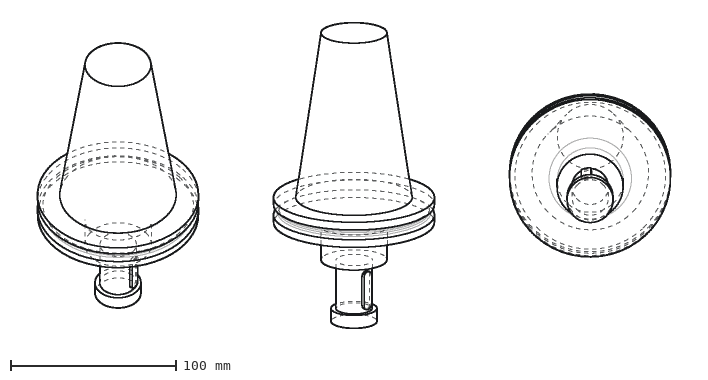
import cadquery as cq
import math

collar_top = 8.3
hub_bottom = 39.1
flange_bottom = 63.0
flange_top = 79.0
total_height = 183.8

collar_radius = 28.0 / 2
shaft_radius = 22.0 / 2
hub_radius = 40.0 / 2
hub_fillet = 5.0
flange_radius = 97.5 / 2
taper_base_radius = 70.5 / 2
taper_ratio = 7 / 24
taper_top_radius = taper_base_radius - (total_height - flange_top) * taper_ratio / 2

groove_radius = 91.3 / 2
groove_half_mouth = 3.1
groove_fillet = 1.3
groove_wall_angle = math.radians(60)

key_width = 6.0
key_bottom = 10.5
key_top = 34.7
key_outer_x = 12.5
key_inner_x = shaft_radius / 2


def make_body():
    """Revolve the half profile, from the collar up to the taper."""
    groove_middle = (flange_bottom + flange_top) / 2
    fillet_end_radius = groove_radius + groove_fillet * (1 - math.cos(groove_wall_angle))
    fillet_height = groove_fillet * math.sin(groove_wall_angle)
    wall_height = (flange_radius - fillet_end_radius) / math.tan(groove_wall_angle)
    half_wall = groove_half_mouth - wall_height
    half_floor = half_wall - fillet_height

    half_angle = groove_wall_angle / 2
    arc_middle_radius = groove_radius + groove_fillet * (1 - math.cos(half_angle))
    half_arc_middle = half_floor + groove_fillet * math.sin(half_angle)

    fillet_inset = hub_fillet * math.cos(math.pi / 4)
    hub_arc_middle = (
        hub_radius + hub_fillet - fillet_inset,
        flange_bottom - hub_fillet + fillet_inset,
    )

    profile = (
        cq.Workplane("XZ")
        .moveTo(0, 0)
        .lineTo(collar_radius, 0)
        .lineTo(collar_radius, collar_top)
        .lineTo(shaft_radius, collar_top)
        .lineTo(shaft_radius, hub_bottom)
        .lineTo(hub_radius, hub_bottom)
        .lineTo(hub_radius, flange_bottom - hub_fillet)
        .threePointArc(hub_arc_middle, (hub_radius + hub_fillet, flange_bottom))
        .lineTo(flange_radius, flange_bottom)
        .lineTo(flange_radius, groove_middle - groove_half_mouth)
        .lineTo(fillet_end_radius, groove_middle - half_wall)
        .threePointArc(
            (arc_middle_radius, groove_middle - half_arc_middle),
            (groove_radius, groove_middle - half_floor),
        )
        .lineTo(groove_radius, groove_middle + half_floor)
        .threePointArc(
            (arc_middle_radius, groove_middle + half_arc_middle),
            (fillet_end_radius, groove_middle + half_wall),
        )
        .lineTo(flange_radius, groove_middle + groove_half_mouth)
        .lineTo(flange_radius, flange_top)
        .lineTo(taper_base_radius, flange_top)
        .lineTo(taper_top_radius, total_height)
        .lineTo(0, total_height)
        .close()
    )
    return profile.revolve(360, (0, 0), (0, 1))


def make_key():
    """Extrude the key outwards from inside the shaft."""
    return (
        cq.Workplane("YZ", origin=(key_inner_x, 0, (key_bottom + key_top) / 2))
        .slot2D(key_top - key_bottom, key_width, angle=90)
        .extrude(key_outer_x - key_inner_x)
    )


result = make_body().union(make_key())